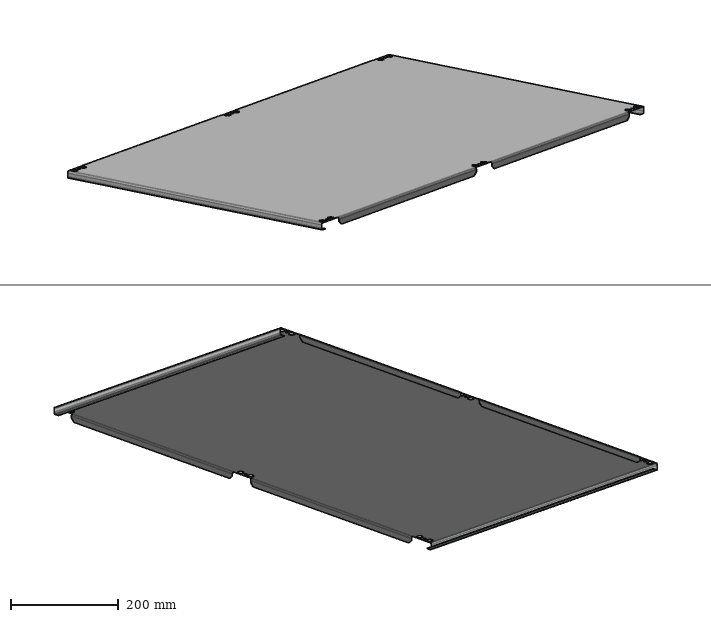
import cadquery as cq
import math

LENGTH = 1000.0
WIDTH = 599.0
HEIGHT = 15.0

SHEET = 1.5
BEND_RADIUS = 4.0
LIP_LENGTH = 12.0

SHEET_WIDTH = WIDTH - 2 * BEND_RADIUS
SHEET_LENGTH = LENGTH - 2 * BEND_RADIUS

SIDE_FLANGE_INNER_Y = 24.0
SIDE_FLANGE_OUTER_Y = 450.0
SIDE_FLANGE_LENGTH = SIDE_FLANGE_OUTER_Y - SIDE_FLANGE_INNER_Y
SIDE_FLANGE_CHAMFER = 7.0

HOLE_X = 288.0
GROUP_Y = 474.0
HOLE_PITCH = 13.0
LARGE_HOLE = 12.0
SMALL_HOLE = 5.0

INNER_RADIUS = BEND_RADIUS - SHEET
OUTER_MID = BEND_RADIUS * math.sqrt(0.5)
INNER_MID = INNER_RADIUS * math.sqrt(0.5)


def side_flange():
    """Downward flange along Y, centred on Y = 0, with chamfered lower corners."""
    return (
        cq.Workplane("XZ")
        .threePointArc((OUTER_MID, OUTER_MID - BEND_RADIUS), (BEND_RADIUS, -BEND_RADIUS))
        .lineTo(BEND_RADIUS, -HEIGHT)
        .lineTo(INNER_RADIUS, -HEIGHT)
        .lineTo(INNER_RADIUS, -BEND_RADIUS)
        .threePointArc((INNER_MID, INNER_MID - BEND_RADIUS), (0, -SHEET))
        .close()
        .extrude(SIDE_FLANGE_LENGTH / 2, both=True)
        .faces("<Z")
        .edges("|X")
        .chamfer(SIDE_FLANGE_CHAMFER)
    )


def end_flange():
    """Downward flange along Y, centred on Y = 0, with a return lip bent back under the sheet."""
    lower_centre = BEND_RADIUS - HEIGHT
    lip_end = BEND_RADIUS - LIP_LENGTH
    return (
        cq.Workplane("XZ")
        .threePointArc((OUTER_MID, OUTER_MID - BEND_RADIUS), (BEND_RADIUS, -BEND_RADIUS))
        .lineTo(BEND_RADIUS, lower_centre)
        .threePointArc((OUTER_MID, lower_centre - OUTER_MID), (0, -HEIGHT))
        .lineTo(lip_end, -HEIGHT)
        .lineTo(lip_end, SHEET - HEIGHT)
        .lineTo(0, SHEET - HEIGHT)
        .threePointArc((INNER_MID, lower_centre - INNER_MID), (INNER_RADIUS, lower_centre))
        .lineTo(INNER_RADIUS, -BEND_RADIUS)
        .threePointArc((INNER_MID, INNER_MID - BEND_RADIUS), (0, -SHEET))
        .close()
        .extrude(SHEET_WIDTH / 2, both=True)
    )


def hole_cutters(diameter, centres):
    return (
        cq.Workplane("XY")
        .pushPoints(centres)
        .circle(diameter / 2)
        .extrude(-SHEET)
    )


result = cq.Workplane("XY").rect(SHEET_WIDTH, SHEET_LENGTH).extrude(-SHEET)

placed_end_flange = end_flange().translate((SHEET_LENGTH / 2, 0, 0))
for turn in (-90, 90):
    result = result.union(placed_end_flange.rotate((0, 0, 0), (0, 0, 1), turn))

side_centre_y = (SIDE_FLANGE_INNER_Y + SIDE_FLANGE_OUTER_Y) / 2
for y in (-side_centre_y, side_centre_y):
    flange = side_flange().translate((SHEET_WIDTH / 2, y, 0))
    result = result.union(flange).union(flange.mirror("YZ"))

group_centres = [(x, y) for x in (-HOLE_X, HOLE_X) for y in (-GROUP_Y, 0, GROUP_Y)]
large_centres = [(x, y + offset) for x, y in group_centres for offset in (-HOLE_PITCH, HOLE_PITCH)]
result = result.cut(hole_cutters(SMALL_HOLE, group_centres))
result = result.cut(hole_cutters(LARGE_HOLE, large_centres))